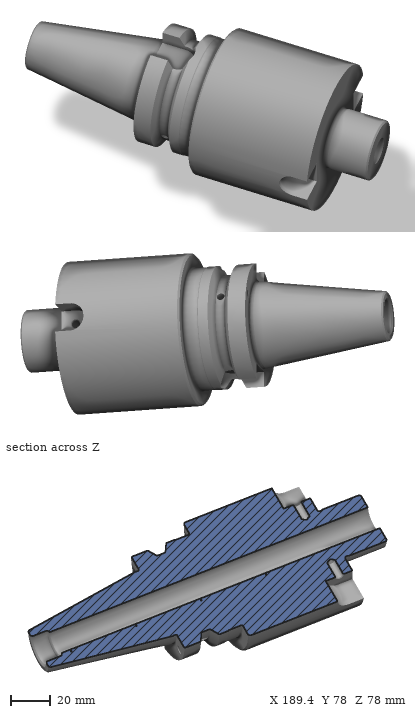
import cadquery as cq
import math

ORIGIN = (0, 0, 0)
X_DIRECTION = (1, 0, 0)

SHANK_LENGTH = 65.4
GAUGE_DIAMETER = 44.45
TAPER_RATIO = 7 / 24
SHANK_CHAMFER = 0.75
RELIEF_DIAMETER = 44.25
RELIEF_TAPER = 0.5
RELIEF_FILLET = 0.4

FLANGE_START = 2.0
FLANGE_END = 27.2
FLANGE_CHAMFER = 0.4
FLANGE_DIAMETER = 63.0
GROOVE_CENTER = 16.5
GROOVE_FLOOR_DIAMETER = 53.0
GROOVE_FLOOR_WIDTH = 4.6
GROOVE_WALL_ANGLE = 30.0

NECK_DIAMETER = 62.5
NECK_FILLET = 0.8
BODY_START = 34.8
BODY_END = 100.0
BODY_DIAMETER = 78.0
BODY_CHAMFER = 1.0

PILOT_LENGTH = 24.0
PILOT_DIAMETER = 32.0
PILOT_RELIEF_DIAMETER = 31.4
PILOT_RELIEF_LENGTH = 2.7
PILOT_FILLET = 1.0
PILOT_RELIEF_TAPER = 0.8
PILOT_CHAMFER = 0.8

BORE_DIAMETER = 14.0
COUNTERBORE_DIAMETER = 17.0
COUNTERBORE_DEPTH = 9.0
COUNTERBORE_CONE_LENGTH = 0.9
MOUTH_DIAMETER = 19.0
MOUTH_CHAMFER_LENGTH = 0.8

KEY_SLOT_WIDTH = 16.1
KEY_SLOT_FLOOR = 22.5
KEY_SLOT_END = 22.8

DRIVE_SLOT_WIDTH = 14.4
DRIVE_SLOT_END = 85.0
DRIVE_SLOT_FLOOR = 25.0
SCREW_HOLE_X = 92.6
SCREW_HOLE_DIAMETER = 4.2
SCREW_HOLE_DEPTH = 10.0
SCREW_COUNTERSINK = 0.4
DRILL_POINT_ANGLE = 118.0

COOLANT_DIAMETER = 4.0
COOLANT_RADIUS = 27.0
COOLANT_ANGLE = 20.0
COOLANT_TILT = 34.0
COOLANT_OVERSHOOT = 4.0


def revolved_body():
    """Solid outer form, turned about the X axis."""
    tip_radius = (GAUGE_DIAMETER - SHANK_LENGTH * TAPER_RATIO) / 2
    tip_chamfer_radius = tip_radius + SHANK_CHAMFER * TAPER_RATIO / 2
    relief_radius = RELIEF_DIAMETER / 2
    flange_radius = FLANGE_DIAMETER / 2
    groove_radius = GROOVE_FLOOR_DIAMETER / 2
    floor_half = GROOVE_FLOOR_WIDTH / 2
    wall_run = (flange_radius - groove_radius) * math.tan(math.radians(GROOVE_WALL_ANGLE))
    mouth_half = floor_half + wall_run
    neck_radius = NECK_DIAMETER / 2
    body_radius = BODY_DIAMETER / 2
    relief_end = BODY_END + PILOT_RELIEF_LENGTH
    pilot_end = BODY_END + PILOT_LENGTH
    pilot_radius = PILOT_DIAMETER / 2
    pilot_relief_radius = PILOT_RELIEF_DIAMETER / 2

    profile = (
        cq.Workplane("XY")
        .moveTo(-SHANK_LENGTH, 0)
        .lineTo(-SHANK_LENGTH, tip_radius - SHANK_CHAMFER)
        .lineTo(-SHANK_LENGTH + SHANK_CHAMFER, tip_chamfer_radius)
        .lineTo(0, GAUGE_DIAMETER / 2)
        .lineTo(RELIEF_TAPER, relief_radius)
        .lineTo(FLANGE_START - RELIEF_FILLET, relief_radius)
        .radiusArc((FLANGE_START, relief_radius + RELIEF_FILLET), -RELIEF_FILLET)
        .lineTo(FLANGE_START, flange_radius)
        .lineTo(GROOVE_CENTER - mouth_half, flange_radius)
        .lineTo(GROOVE_CENTER - floor_half, groove_radius)
        .lineTo(GROOVE_CENTER + floor_half, groove_radius)
        .lineTo(GROOVE_CENTER + mouth_half, flange_radius)
        .lineTo(FLANGE_END - FLANGE_CHAMFER, flange_radius)
        .lineTo(FLANGE_END, neck_radius)
        .lineTo(BODY_START - NECK_FILLET, neck_radius)
        .radiusArc((BODY_START, neck_radius + NECK_FILLET), -NECK_FILLET)
        .lineTo(BODY_START, body_radius - BODY_CHAMFER)
        .lineTo(BODY_START + BODY_CHAMFER, body_radius)
        .lineTo(BODY_END, body_radius)
        .lineTo(BODY_END, pilot_relief_radius + PILOT_FILLET)
        .radiusArc((BODY_END + PILOT_FILLET, pilot_relief_radius), -PILOT_FILLET)
        .lineTo(relief_end - PILOT_RELIEF_TAPER, pilot_relief_radius)
        .lineTo(relief_end, pilot_radius)
        .lineTo(pilot_end - PILOT_CHAMFER, pilot_radius)
        .lineTo(pilot_end, pilot_radius - PILOT_CHAMFER)
        .lineTo(pilot_end, 0)
        .close()
    )
    return profile.revolve(360, ORIGIN, X_DIRECTION)


def central_bore():
    """Through bore with a counterbore opening at the small end of the shank."""
    start = -SHANK_LENGTH
    bore_radius = BORE_DIAMETER / 2
    counterbore_radius = COUNTERBORE_DIAMETER / 2
    cone_start = start + COUNTERBORE_DEPTH
    bore_end = BODY_END + PILOT_LENGTH
    profile = (
        cq.Workplane("XY")
        .moveTo(start, 0)
        .lineTo(start, MOUTH_DIAMETER / 2)
        .lineTo(start + MOUTH_CHAMFER_LENGTH, counterbore_radius)
        .lineTo(cone_start, counterbore_radius)
        .lineTo(cone_start + COUNTERBORE_CONE_LENGTH, bore_radius)
        .lineTo(bore_end, bore_radius)
        .lineTo(bore_end, 0)
        .close()
    )
    return profile.revolve(360, ORIGIN, X_DIRECTION)


def key_slot(side):
    """Round-ended slot across the flange, open at its rear face; side is +1 or -1 in Z."""
    half_width = KEY_SLOT_WIDTH / 2
    arc_center = KEY_SLOT_END - half_width
    outline = (
        cq.Workplane("XY")
        .workplane(offset=side * KEY_SLOT_FLOOR)
        .moveTo(FLANGE_START, -half_width)
        .lineTo(arc_center, -half_width)
        .threePointArc((KEY_SLOT_END, 0), (arc_center, half_width))
        .lineTo(FLANGE_START, half_width)
        .close()
    )
    return outline.extrude(side * FLANGE_DIAMETER / 2)


def drive_slot():
    """Round-ended slot on the -Y side of the body, open at its front face, with a screw hole."""
    half_width = DRIVE_SLOT_WIDTH / 2
    arc_center = DRIVE_SLOT_END + half_width
    slot = (
        cq.Workplane("XZ")
        .workplane(offset=DRIVE_SLOT_FLOOR)
        .moveTo(BODY_END, -half_width)
        .lineTo(arc_center, -half_width)
        .threePointArc((DRIVE_SLOT_END, 0), (arc_center, half_width))
        .lineTo(BODY_END, half_width)
        .close()
        .extrude(BODY_DIAMETER / 2)
    )
    mouth = cq.Vector(SCREW_HOLE_X, -DRIVE_SLOT_FLOOR, 0)
    inward = cq.Vector(0, 1, 0)
    hole = drilled_hole(SCREW_HOLE_DIAMETER, SCREW_HOLE_DEPTH, mouth, inward)
    hole_radius = SCREW_HOLE_DIAMETER / 2
    countersink = cq.Workplane(
        cq.Solid.makeCone(hole_radius + SCREW_COUNTERSINK, hole_radius, SCREW_COUNTERSINK, mouth, inward)
    )
    return slot.union(hole).union(countersink)


def drilled_hole(diameter, depth, mouth, direction):
    """Blind hole whose conical drill point lies beyond the given depth."""
    radius = diameter / 2
    point_length = radius / math.tan(math.radians(DRILL_POINT_ANGLE / 2))
    bottom = mouth + direction * depth
    shaft = cq.Solid.makeCylinder(radius, depth, mouth, direction)
    point = cq.Solid.makeCone(radius, 0, point_length, bottom, direction)
    return cq.Workplane(shaft.fuse(point))


def coolant_channel():
    """Tilted hole from the rear face of the flange meeting a radial hole from the groove floor."""
    radius = COOLANT_DIAMETER / 2
    tilt = math.radians(COOLANT_TILT)
    run = GROOVE_CENTER - FLANGE_START
    junction_radius = COOLANT_RADIUS - run * math.tan(tilt)
    junction = cq.Vector(GROOVE_CENTER, junction_radius, 0)
    outward = cq.Vector(0, 1, 0)
    rearward = cq.Vector(-math.cos(tilt), math.sin(tilt), 0)
    radial_length = GROOVE_FLOOR_DIAMETER / 2 - junction_radius + COOLANT_OVERSHOOT
    tilted_length = run / math.cos(tilt) + COOLANT_OVERSHOOT
    radial_hole = cq.Solid.makeCylinder(radius, radial_length, junction, outward)
    tilted_hole = cq.Solid.makeCylinder(radius, tilted_length, junction, rearward)
    channel = cq.Workplane(radial_hole.fuse(tilted_hole))
    return channel.rotate(ORIGIN, X_DIRECTION, COOLANT_ANGLE)


result = revolved_body().cut(central_bore())

for slot_side in (1, -1):
    result = result.cut(key_slot(slot_side))

for turn in (0, 180):
    result = result.cut(drive_slot().rotate(ORIGIN, X_DIRECTION, turn))
    result = result.cut(coolant_channel().rotate(ORIGIN, X_DIRECTION, turn))